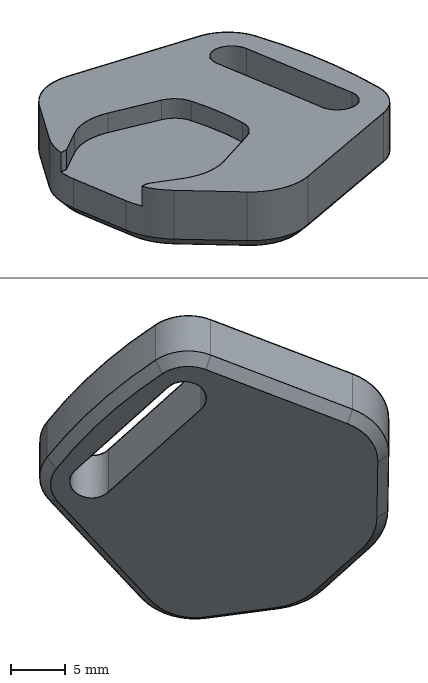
import cadquery as cq
import math

length = 30.0
width = 30.0
thickness = length / 5
bottom_chamfer = thickness / 6

foot_x = 3.25
foot_radius = 6.95
side_y = 10.5
side_radius = 6.0
shoulder_x = 6.9
shoulder_y = 24.87
shoulder_radius = 4.6

slot_length = 17.0
slot_width = 4.0
slot_y = 25.0

pocket_depth = thickness / 3
mouth_width = length / 3
throat_y = 1.0
pocket_top_y = 16.02
pocket_width = width / 2
pocket_side_y = 6.93
pocket_side_radius = 6.0
pocket_shoulder_x = 2.88
pocket_shoulder_y = 13.3
pocket_shoulder_radius = 2.55


def point_on(corner, angle):
    """Point of a corner circle (x, y, radius) at an angle in radians."""
    x, y, radius = corner
    return (x + radius * math.cos(angle), y + radius * math.sin(angle))


def tangent_angle(lower, upper):
    """Direction of the normal of the outer tangent line that joins two corner circles."""
    dx = upper[0] - lower[0]
    dy = upper[1] - lower[1]
    distance = math.hypot(dx, dy)
    return math.atan2(dy, dx) - math.acos((lower[2] - upper[2]) / distance)


def crown_angle(corner, top_y):
    """Angle where the last corner meets a crown arc that is centred on X = 0 and peaks at top_y."""
    x, y, radius = corner
    drop = top_y - y
    crown_radius = (x**2 + drop**2 - radius**2) / (2 * (drop - radius))
    return math.atan2(y - (top_y - crown_radius), x)


def mirrored(point):
    return (-point[0], point[1])


def crowned_outline(plane, corners, top_y):
    """Closed symmetric outline: flat foot, tangent-joined corners on both sides, crowned top.

    The corners are circles (x, y, radius) of the right half, from foot to top; radius 0 is a sharp corner.
    """
    joints = [tangent_angle(low, high) for low, high in zip(corners, corners[1:])]
    angles = [-math.pi / 2] + joints + [crown_angle(corners[-1], top_y)]
    arcs = []
    for corner, start, end in zip(corners, angles, angles[1:]):
        arcs.append([point_on(corner, a) for a in (start, (start + end) / 2, end)])

    sketch = plane.moveTo(*mirrored(arcs[0][0]))
    for corner, (start, middle, end) in zip(corners, arcs):
        sketch = sketch.lineTo(*start)
        if corner[2] > 0:
            sketch = sketch.threePointArc(middle, end)

    sketch = sketch.threePointArc((0, top_y), mirrored(arcs[-1][2]))

    for index in reversed(range(len(corners))):
        start, middle, end = [mirrored(point) for point in arcs[index]]
        if corners[index][2] > 0:
            sketch = sketch.threePointArc(middle, start)
        if index > 0:
            sketch = sketch.lineTo(*mirrored(arcs[index - 1][2]))
    return sketch.close()


def make_plate():
    corners = [
        (foot_x, foot_radius, foot_radius),
        (width / 2 - side_radius, side_y, side_radius),
        (shoulder_x, shoulder_y, shoulder_radius),
    ]
    plate = crowned_outline(cq.Workplane("XY"), corners, length).extrude(thickness)
    return plate.faces("<Z").chamfer(bottom_chamfer)


def make_slot():
    return cq.Workplane("XY").center(0, slot_y).slot2D(slot_length, slot_width).extrude(thickness)


def make_pocket():
    floor = cq.Workplane("XY").workplane(offset=thickness - pocket_depth)
    corners = [
        (mouth_width / 2, throat_y, 0),
        (pocket_width / 2 - pocket_side_radius, pocket_side_y, pocket_side_radius),
        (pocket_shoulder_x, pocket_shoulder_y, pocket_shoulder_radius),
    ]
    recess = crowned_outline(floor, corners, pocket_top_y).extrude(pocket_depth)
    mouth = floor.center(0, throat_y / 2).rect(mouth_width, throat_y).extrude(pocket_depth)
    return recess.union(mouth)


result = make_plate().cut(make_slot()).cut(make_pocket())